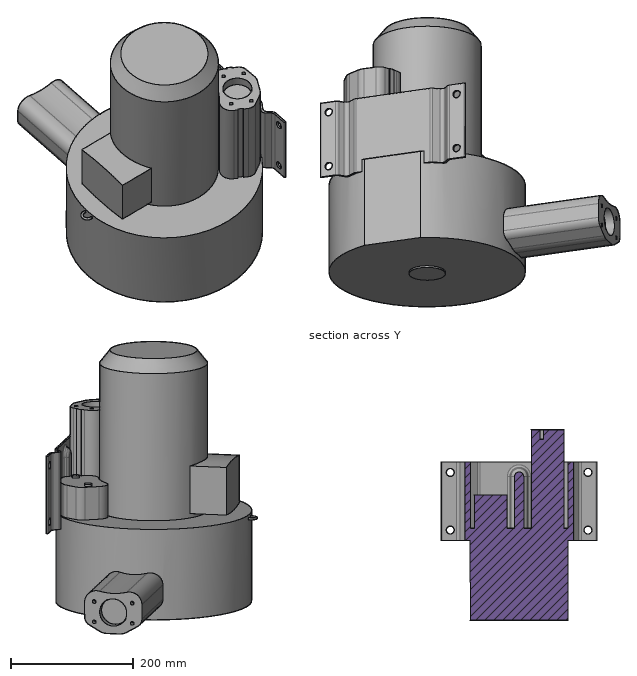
import cadquery as cq
import math

HOUSING_RADIUS = 161.0
HOUSING_HEIGHT = 151.5
HOUSING_BACK = 153.5
BASE_DISC_RADIUS = 30.0
BASE_DISC_THICKNESS = 3.0

MOTOR_RADIUS = 88.5
MOTOR_TOP_RADIUS = 71.5
MOTOR_SHOULDER = 397.5
MOTOR_TOP = 419.0

MOTOR_GAP = 1.5
HOLLOW_RADIUS = MOTOR_RADIUS + MOTOR_GAP
PORT_HALF_WIDTH = 48.0
INNER_CORNER_RADIUS = 20.3
OUTER_CORNER_RADIUS = 15.0
OUTER_CORNER_REACH = 131.0
NOSE_REACH = 157.5
NOSE_RADIUS = 24.0
FLANK_ANGLE = math.radians(30)
BORE_REACH = 122.0
SCREW_HOLE_RADIUS = 3.0
SCREW_HOLE_HALF_SPACING = 32.0
SCREW_HOLE_REACHES = (105.0, 139.0)
PORT_HOLE_DEPTH = 15.5

PIPE_END = 321.0
PIPE_BORE_RADIUS = 22.5
PIPE_BORE_HEIGHT = 43.5

PORT_ANGLE = 28
OPEN_PORT_TOP = 312.5
OPEN_PORT_BORE_RADIUS = 23.5
TONGUE_REACHES = (114.0, 122.5)
TONGUE_HEIGHT = 2.0
CLOSED_PORT_TOP = 206.0
COVER_SCREW_RADIUS = 6.5
COVER_SCREW_HEIGHT = 3.5
COVER_SCREW_HALF_SPACING = 36.0

BOX_CENTER_X = 1.0
BOX_HALF_WIDTH = 52.5
BOX_FRONT = 132.5
BOX_BOTTOM = 158.5
BOX_TOP = 238.0
BOX_CROWN = 3.5

EYE_OUTER_RADIUS = 10.5
EYE_WIRE_RADIUS = 2.0
EYE_Y = -163.0
EYE_Z = 145.0

SHEET = 3.5
BRACKET_BOTTOM = 130.5
BRACKET_TOP = 260.0
BRACKET_HALF_WIDTH = 128.0
BEND_RADIUS = 7.0
FLANGE_INNER_X = 98.5
TROUGH_X = 85.5
TROUGH_Y = 137.5
WEB_EDGE_X = 67.0
WEB_BACK = 151.5
BRACKET_HOLE_RADIUS = 6.5
BRACKET_HOLE_X = 113.0
BRACKET_HOLE_INSET = 17.5

BEAD_FACE_HALF_WIDTH = 6.8
BEAD_WALL_LENGTH = 3.0
BEAD_WALL_ANGLE = math.radians(60)
BEAD_FOOT_RADIUS = 5.0
BEAD_RIM_RADIUS = 7.5
BEAD_ARCH_CENTER = 236.0


def cylinder(radius, bottom, top, x=0.0, y=0.0):
    return cq.Workplane("XY", origin=(x, y, bottom)).circle(radius).extrude(top - bottom)


def polar(center, radius, angle):
    return (center[0] + radius * math.cos(angle), center[1] + radius * math.sin(angle))


def mirror(point):
    return (-point[0], point[1])


def port_section(plane):
    """Closed port outline; the plane's origin is the hollow's center and its y axis is the reach."""
    inner_x = PORT_HALF_WIDTH - INNER_CORNER_RADIUS
    inner_distance = HOLLOW_RADIUS + INNER_CORNER_RADIUS
    inner_tangent = math.acos(inner_x / inner_distance)
    inner_center = polar((0, 0), inner_distance, inner_tangent)
    hollow_end = polar((0, 0), HOLLOW_RADIUS, inner_tangent)
    inner_middle = polar(inner_center, INNER_CORNER_RADIUS, (inner_tangent - math.pi) / 2)

    outer_center = (PORT_HALF_WIDTH - OUTER_CORNER_RADIUS, OUTER_CORNER_REACH)
    flank_normal = math.pi / 2 - FLANK_ANGLE
    outer_middle = polar(outer_center, OUTER_CORNER_RADIUS, flank_normal / 2)
    flank_start = polar(outer_center, OUTER_CORNER_RADIUS, flank_normal)

    nose_center_reach = NOSE_REACH - NOSE_RADIUS
    flank_end_reach = nose_center_reach + NOSE_RADIUS * math.cos(FLANK_ANGLE)
    flank_end_x = flank_start[0] - (flank_end_reach - flank_start[1]) / math.tan(FLANK_ANGLE)
    flank_end = (flank_end_x, flank_end_reach)
    nose_center = (flank_end_x - NOSE_RADIUS * math.sin(FLANK_ANGLE), nose_center_reach)
    nose_middle = polar(nose_center, NOSE_RADIUS, math.pi / 2 - FLANK_ANGLE / 2)
    nose_start = (nose_center[0], NOSE_REACH)

    return (
        cq.Workplane(plane)
        .moveTo(*mirror(hollow_end))
        .threePointArc((0, HOLLOW_RADIUS), hollow_end)
        .threePointArc(inner_middle, (PORT_HALF_WIDTH, inner_center[1]))
        .lineTo(PORT_HALF_WIDTH, OUTER_CORNER_REACH)
        .threePointArc(outer_middle, flank_start)
        .lineTo(*flank_end)
        .threePointArc(nose_middle, nose_start)
        .lineTo(*mirror(nose_start))
        .threePointArc(mirror(nose_middle), mirror(flank_end))
        .lineTo(*mirror(flank_start))
        .threePointArc(mirror(outer_middle), (-PORT_HALF_WIDTH, OUTER_CORNER_REACH))
        .lineTo(-PORT_HALF_WIDTH, inner_center[1])
        .threePointArc(mirror(inner_middle), mirror(hollow_end))
        .close()
    )


def port_holes(end_plane, bore_radius):
    """Blind bore and its four screw holes, sunk into the end face of a port."""
    screw_points = [
        (side * SCREW_HOLE_HALF_SPACING, reach) for side in (-1, 1) for reach in SCREW_HOLE_REACHES
    ]
    bore = cq.Workplane(end_plane).center(0, BORE_REACH).circle(bore_radius).extrude(-PORT_HOLE_DEPTH)
    screws = cq.Workplane(end_plane).pushPoints(screw_points).circle(SCREW_HOLE_RADIUS)
    return bore.union(screws.extrude(-PORT_HOLE_DEPTH))


def make_housing():
    drum = cylinder(HOUSING_RADIUS, 0, HOUSING_HEIGHT)
    keep_depth = HOUSING_RADIUS + HOUSING_BACK
    keep = cq.Workplane("XY").box(2 * HOUSING_RADIUS, keep_depth, HOUSING_HEIGHT, centered=(True, True, False))
    drum = drum.intersect(keep.translate((0, HOUSING_BACK - keep_depth / 2, 0)))
    return drum.union(cylinder(BASE_DISC_RADIUS, -BASE_DISC_THICKNESS, 0))


def make_motor():
    half_section = [
        (0, 0),
        (MOTOR_RADIUS, 0),
        (MOTOR_RADIUS, MOTOR_SHOULDER),
        (MOTOR_TOP_RADIUS, MOTOR_TOP),
        (0, MOTOR_TOP),
    ]
    return cq.Workplane("XZ").polyline(half_section).close().revolve(360, (0, 0), (0, 1))


def make_pipe():
    def pipe_plane(x):
        return cq.Plane(origin=(x, 0, PIPE_BORE_HEIGHT + BORE_REACH), xDir=(0, 1, 0), normal=(-1, 0, 0))

    pipe = port_section(pipe_plane(0)).extrude(PIPE_END)
    return pipe.cut(port_holes(pipe_plane(-PIPE_END), PIPE_BORE_RADIUS))


def port_plane(side, z):
    """Level plane turned so that its y axis points from the motor axis toward a port."""
    turn = math.radians(-side * PORT_ANGLE)
    return cq.Plane(origin=(0, 0, z), xDir=(math.cos(turn), math.sin(turn), 0), normal=(0, 0, 1))


def make_open_port():
    port = port_section(port_plane(1, 0)).extrude(OPEN_PORT_TOP)

    tongue_width = TONGUE_REACHES[1] - TONGUE_REACHES[0]
    tongue_reach = sum(TONGUE_REACHES) / 2

    def flank_strip(side):
        strip = cq.Workplane(port_plane(1, 0)).center(side * PORT_HALF_WIDTH, tongue_reach)
        return strip.rect(2 * TONGUE_HEIGHT, tongue_width).extrude(OPEN_PORT_TOP)

    port = port.union(flank_strip(-1)).cut(flank_strip(1))
    return port.cut(port_holes(port_plane(1, OPEN_PORT_TOP), OPEN_PORT_BORE_RADIUS))


def make_closed_port():
    port = port_section(port_plane(-1, 0)).extrude(CLOSED_PORT_TOP)
    screw_points = [(side * COVER_SCREW_HALF_SPACING, BORE_REACH) for side in (-1, 1)]
    screws = cq.Workplane(port_plane(-1, CLOSED_PORT_TOP)).pushPoints(screw_points)
    return port.union(screws.circle(COVER_SCREW_RADIUS).extrude(COVER_SCREW_HEIGHT))


def make_terminal_box():
    return (
        cq.Workplane("XZ", origin=(BOX_CENTER_X, 0, 0))
        .moveTo(-BOX_HALF_WIDTH, BOX_BOTTOM)
        .threePointArc((0, BOX_BOTTOM - BOX_CROWN), (BOX_HALF_WIDTH, BOX_BOTTOM))
        .lineTo(BOX_HALF_WIDTH, BOX_TOP)
        .threePointArc((0, BOX_TOP + BOX_CROWN), (-BOX_HALF_WIDTH, BOX_TOP))
        .close()
        .extrude(BOX_FRONT)
    )


def make_eye():
    ring_radius = EYE_OUTER_RADIUS - EYE_WIRE_RADIUS
    return cq.Workplane(cq.Solid.makeTorus(ring_radius, EYE_WIRE_RADIUS, cq.Vector(0, EYE_Y, EYE_Z)))


def make_bracket():
    half_line = [
        (WEB_EDGE_X, WEB_BACK - SHEET / 2),
        (TROUGH_X, TROUGH_Y),
        (FLANGE_INNER_X, HOUSING_BACK - SHEET / 2),
        (BRACKET_HALF_WIDTH - SHEET / 2, HOUSING_BACK - SHEET / 2),
    ]
    full_line = [mirror(point) for point in reversed(half_line)] + half_line
    center_line = cq.Workplane("XY", origin=(0, 0, BRACKET_BOTTOM)).polyline(full_line)
    bracket = center_line.offset2D(SHEET / 2, "intersection").extrude(BRACKET_TOP - BRACKET_BOTTOM)

    bend_limit = BRACKET_HALF_WIDTH - SHEET
    bends = cq.selectors.BoxSelector((-bend_limit, 0, 0), (bend_limit, HOUSING_RADIUS, BRACKET_TOP))
    bracket = bracket.edges("|Z").edges(bends).fillet(BEND_RADIUS)

    hole_points = [
        (side * BRACKET_HOLE_X, z)
        for side in (-1, 1)
        for z in (BRACKET_BOTTOM + BRACKET_HOLE_INSET, BRACKET_TOP - BRACKET_HOLE_INSET)
    ]
    holes = cq.Workplane("XZ", origin=(0, HOUSING_BACK, 0)).pushPoints(hole_points)
    return bracket.cut(holes.circle(BRACKET_HOLE_RADIUS).extrude(SHEET))


def make_bead():
    """Straight bead rising from inside the housing, ended by half of a matching dome."""
    web_front = WEB_BACK - SHEET
    along_wall = polar((0, 0), BEAD_WALL_LENGTH, BEAD_WALL_ANGLE)
    rise = BEAD_WALL_LENGTH * math.sin(BEAD_WALL_ANGLE)
    rise += (BEAD_FOOT_RADIUS + BEAD_RIM_RADIUS) * (1 - math.cos(BEAD_WALL_ANGLE))
    face_y = web_front - rise

    rim_center = (BEAD_FACE_HALF_WIDTH, face_y + BEAD_RIM_RADIUS)
    rim_middle = polar(rim_center, BEAD_RIM_RADIUS, (BEAD_WALL_ANGLE - math.pi) / 2)
    rim_end = polar(rim_center, BEAD_RIM_RADIUS, BEAD_WALL_ANGLE - math.pi / 2)
    wall_end = (rim_end[0] + along_wall[0], rim_end[1] + along_wall[1])
    foot_end_x = wall_end[0] + BEAD_FOOT_RADIUS * math.sin(BEAD_WALL_ANGLE)
    foot_center = (foot_end_x, web_front - BEAD_FOOT_RADIUS)
    foot_middle = polar(foot_center, BEAD_FOOT_RADIUS, (BEAD_WALL_ANGLE + math.pi) / 2)

    def half_section(z):
        return (
            cq.Workplane("XY", origin=(0, 0, z))
            .moveTo(0, face_y)
            .lineTo(BEAD_FACE_HALF_WIDTH, face_y)
            .threePointArc(rim_middle, rim_end)
            .lineTo(*wall_end)
            .threePointArc(foot_middle, (foot_end_x, web_front))
            .lineTo(foot_end_x, web_front + SHEET / 2)
            .lineTo(0, web_front + SHEET / 2)
            .close()
        )

    bead_bottom = (BRACKET_BOTTOM + HOUSING_HEIGHT) / 2
    half_bead = half_section(bead_bottom).extrude(BEAD_ARCH_CENTER - bead_bottom)
    dome = half_section(BEAD_ARCH_CENTER).revolve(360, (0, 0), (0, 1))
    return dome.union(half_bead).union(half_bead.mirror("YZ"))


result = (
    make_housing()
    .union(make_motor())
    .union(make_pipe())
    .union(make_open_port())
    .union(make_closed_port())
    .union(make_terminal_box())
    .union(make_eye())
    .union(make_bracket())
    .union(make_bead())
)